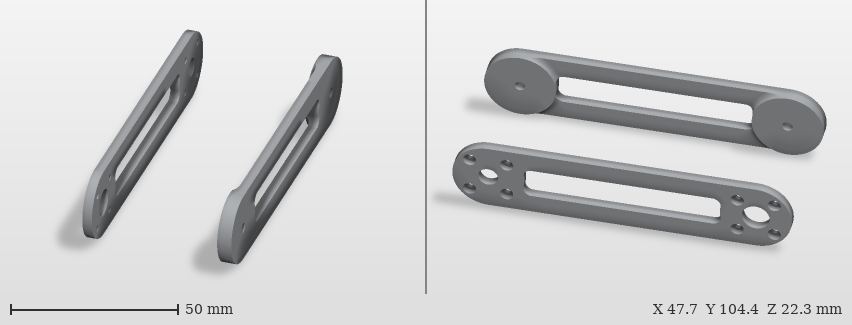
import cadquery as cq
import math

END_SPACING = 82.1
PLATE_WIDTH = 22.0
END_RADIUS = PLATE_WIDTH / 2
PLATE_THICKNESS = 3.0
SLOT_WIDTH = 9.9
SLOT_CORNER_RADIUS = 2.5

PLATE_GAP = 39.5
BOSS_HEIGHT = 1.5
BOSS_FLARE_RADIUS = 2.0
ASSEMBLY_DEPTH = PLATE_THICKNESS + PLATE_GAP + BOSS_HEIGHT + PLATE_THICKNESS

FRONT_BORE_DIAMETER = 8.5
REAR_BORE_DIAMETER = 6.0
SCREW_SPACING = 11.4
SCREW_HOLE_DIAMETER = 2.1
SCREW_HEAD_DIAMETER = 4.1
SCREW_HEAD_DEPTH = 2.0

PIVOT_HOLE_DIAMETER = 3.2

TILT_ABOUT_Y = 0.4
TILT_ABOUT_Z = -0.32

END_CENTERS = [(-END_SPACING / 2, 0), (END_SPACING / 2, 0)]


def cylinders(x_start, height, diameter, centers):
    """Cylinders along +X at the given (y, z) centers."""
    return (
        cq.Workplane("YZ", origin=(x_start, 0, 0))
        .pushPoints(centers)
        .circle(diameter / 2)
        .extrude(height)
    )


def slotted_plate(x_start):
    """Round-ended plate with a central window."""
    plate = (
        cq.Workplane("YZ", origin=(x_start, 0, 0))
        .slot2D(END_SPACING + PLATE_WIDTH, PLATE_WIDTH)
        .extrude(PLATE_THICKNESS)
    )
    return plate.cut(window(x_start, PLATE_THICKNESS))


def window(x_start, depth):
    """Block that cuts the window, its ends concentric with the plate ends."""
    block = (
        cq.Workplane("YZ", origin=(x_start, 0, 0))
        .rect(END_SPACING, SLOT_WIDTH)
        .extrude(depth)
        .cut(cylinders(x_start, depth, PLATE_WIDTH, END_CENTERS))
    )
    return block.edges("|X").fillet(SLOT_CORNER_RADIUS)


def screw_centers():
    """Four corners of a square around each end center."""
    offset = SCREW_SPACING / 2
    return [
        (y + dy, z + dz)
        for y, z in END_CENTERS
        for dy in (-offset, offset)
        for dz in (-offset, offset)
    ]


def make_flat_plate():
    x_start = -ASSEMBLY_DEPTH / 2
    plate = slotted_plate(x_start)
    for diameter, center in zip((FRONT_BORE_DIAMETER, REAR_BORE_DIAMETER), END_CENTERS):
        plate = plate.cut(cylinders(x_start, PLATE_THICKNESS, diameter, [center]))
    plate = plate.cut(cylinders(x_start, PLATE_THICKNESS, SCREW_HOLE_DIAMETER, screw_centers()))
    return plate.cut(cylinders(x_start, SCREW_HEAD_DEPTH, SCREW_HEAD_DIAMETER, screw_centers()))


def flared_boss(x_face, center):
    """Disc whose side is a concave arc flaring out to the plate."""
    flare_width = math.sqrt(BOSS_FLARE_RADIUS**2 - (BOSS_FLARE_RADIUS - BOSS_HEIGHT) ** 2)
    x_foot = x_face + BOSS_HEIGHT
    foot_radius = END_RADIUS + flare_width
    middle_angle = math.atan2(flare_width, BOSS_FLARE_RADIUS - BOSS_HEIGHT) / 2
    arc_middle = (
        x_foot - BOSS_FLARE_RADIUS * (1 - math.cos(middle_angle)),
        foot_radius - BOSS_FLARE_RADIUS * math.sin(middle_angle),
    )
    profile = (
        cq.Workplane("XY")
        .moveTo(x_face, 0)
        .lineTo(x_face, END_RADIUS)
        .threePointArc(arc_middle, (x_foot, foot_radius))
        .lineTo(x_foot, 0)
        .close()
    )
    return profile.revolve(360, (0, 0, 0), (1, 0, 0)).translate((0, *center))


def make_bossed_plate():
    x_face = ASSEMBLY_DEPTH / 2 - PLATE_THICKNESS - BOSS_HEIGHT
    plate_depth = BOSS_HEIGHT + PLATE_THICKNESS
    envelope = (
        cq.Workplane("YZ", origin=(x_face, 0, 0))
        .slot2D(END_SPACING + PLATE_WIDTH, PLATE_WIDTH)
        .extrude(plate_depth)
    )
    plate = slotted_plate(x_face + BOSS_HEIGHT)
    for center in END_CENTERS:
        plate = plate.union(flared_boss(x_face, center).intersect(envelope))
    plate = plate.cut(window(x_face, plate_depth))
    return plate.cut(cylinders(x_face, plate_depth, PIVOT_HOLE_DIAMETER, END_CENTERS))


def tilt(body):
    """Turn a body with the assembly about the common center."""
    turned = body.rotate((0, 0, 0), (0, 1, 0), TILT_ABOUT_Y)
    return turned.rotate((0, 0, 0), (0, 0, 1), TILT_ABOUT_Z)


flat_plate = tilt(make_flat_plate())
bossed_plate = tilt(make_bossed_plate())

result = cq.Compound.makeCompound([flat_plate.val(), bossed_plate.val()])